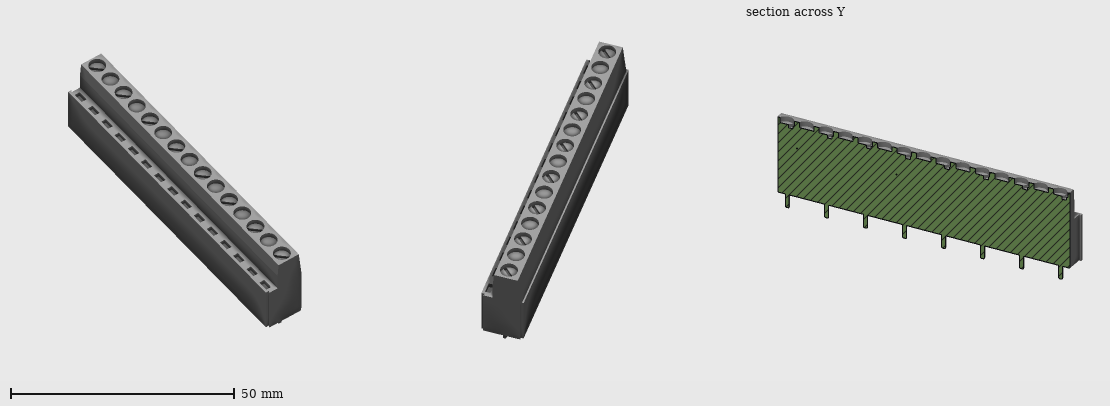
import cadquery as cq

overall_length = 75.5
overall_depth = 10.0
housing_height = 19.2
step_height = 11.6
end_tab_length = 0.5
body_length = overall_length - end_tab_length

front_shelf = 2.9
front_slope_run = 0.3
front_slope_start = 15.8
back_shelf = 0.4
back_slope_run = 0.8

tab_thickness = 0.8
tab_undercut = 0.2

pole_count = 15
pole_span = 70.1
pitch = pole_span / (pole_count - 1)
first_pole = 2.95

well_diameter = 4.0
well_depth = 1.3
well_from_back = 4.1
slot_width = 0.75
slot_depth = 0.75
slot_angle = 45.0

window_length = 2.65
window_width = 1.3
window_depth = 1.1
window_from_front = 1.3

pin_length = 3.3
pin_width = 1.1
pin_thickness = 0.75
pin_tip_chamfer = 0.2
pin_from_front = 5.0

pole_places = [first_pole + pitch * i for i in range(pole_count)]
live_places = pole_places[::2]


def end_tab_outline(x_base):
    """Front tab outline, an undercut wedge standing out in -X from x_base."""
    return [
        (x_base - end_tab_length, 0),
        (x_base, 0),
        (x_base, tab_thickness - tab_undercut),
        (x_base - end_tab_length, tab_thickness),
    ]


def end_tabs(x_base):
    """Both tabs, mirrored about the middle of the depth."""
    front = cq.Workplane("XY").polyline(end_tab_outline(x_base)).close().extrude(step_height)
    back = front.mirror("XZ").translate((0, overall_depth, 0))
    return front.union(back)


def housing():
    """Stepped block with its end tabs and notches."""
    back_wall = overall_depth - back_shelf
    outline = [
        (0, 0),
        (overall_depth, 0),
        (overall_depth, step_height),
        (back_wall, step_height),
        (back_wall - back_slope_run, housing_height),
        (front_shelf + front_slope_run, housing_height),
        (front_shelf, front_slope_start),
        (front_shelf, step_height),
        (0, step_height),
    ]
    block = cq.Workplane("YZ").polyline(outline).close().extrude(body_length)
    block = block.translate((end_tab_length, 0, 0))
    return block.cut(end_tabs(overall_length)).union(end_tabs(end_tab_length))


def screw_wells():
    """Round well over every pole, with a screw slot over the live ones."""
    well_y = overall_depth - well_from_back
    well_floor = housing_height - well_depth
    wells = (
        cq.Workplane("XY", origin=(0, 0, well_floor))
        .pushPoints([(x, well_y) for x in pole_places])
        .circle(well_diameter / 2)
        .extrude(well_depth)
    )
    slot_bottom = well_floor - slot_depth
    for x in live_places:
        slot_plane = cq.Workplane("XY", origin=(x, well_y, slot_bottom))
        bore = slot_plane.circle(well_diameter / 2).extrude(slot_depth)
        bar = (
            slot_plane.transformed(rotate=(0, 0, slot_angle))
            .rect(well_diameter, slot_width)
            .extrude(slot_depth)
        )
        wells = wells.union(bore.intersect(bar))
    return wells


def wire_windows():
    """Rectangular opening in the front shelf at every pole."""
    return (
        cq.Workplane("XY", origin=(0, 0, step_height - window_depth))
        .pushPoints([(x, window_from_front) for x in pole_places])
        .rect(window_length, window_width)
        .extrude(window_depth)
    )


def solder_pins():
    """Rectangular pins with chamfered tips below the live poles."""
    return (
        cq.Workplane("XY")
        .pushPoints([(x, pin_from_front) for x in live_places])
        .rect(pin_width, pin_thickness)
        .extrude(-pin_length)
        .faces("<Z")
        .chamfer(pin_tip_chamfer)
    )


result = housing().cut(screw_wells()).cut(wire_windows()).union(solder_pins())